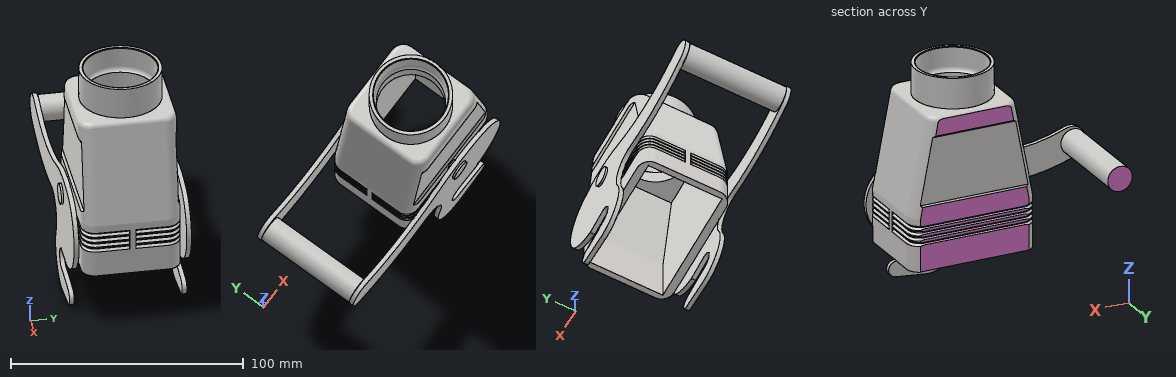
import cadquery as cq
import math


hood_bottom = -24.6
taper_start = 0.2
shoulder = 46.5
base_half_length = 29.9
top_half_length = 21.0
hood_depth = 43.2
corner_radius = 6.1
rim_radius = 2.5
taper_blend_radius = 2.8

collar_top = 60.9
collar_radius = 18.0
socket_radius = 16.1
socket_chamfer = 0.3
throat_radius = 14.9
socket_depth = 9.5
step_height = 2.2

wall = 2.7
cavity_top = 41.1

overlap = 1.1

panel_depth = 1.0
panel_bottom = 5.0
panel_bottom_slope = 1.3
panel_top = 38.2
panel_top_slope = 1.1

groove_count = 4
groove_height = 2.0
groove_pitch = 2.5
lowest_groove = -12.5
groove_gap = 2.7

plate_thickness = 2.2
plate_outer_y = 25.7
pin_radius = 2.4
head_radius = 4.6
rivet_span = 53.2
handle_x = -69.9
handle_radius = 6.0

arm_centre = (-39.2, 76.2)
arm_end_centre = (-68.8, 0.2)
crown_centre = (3.0, -39.3)
nose_centre = (11.8, -9.9)
chin_centre = (5.2, -0.9)
thumb_centre = (-23.2, -22.1)
hook_centre = (0, -33.1)
tip_centre = (15.2, -42.8)
arm_end_radius = 7.3
slot_radius = 4.8
tip_radius = 3.7
mouth_x = 11.5


def distance(a, b):
    return math.hypot(b[0] - a[0], b[1] - a[1])


def toward(centre, target, length):
    """Point at the given length from centre, along the line to target."""
    ratio = length / distance(centre, target)
    return (centre[0] + ratio * (target[0] - centre[0]), centre[1] + ratio * (target[1] - centre[1]))


def polar(centre, radius, angle):
    return (centre[0] + radius * math.cos(angle), centre[1] + radius * math.sin(angle))


def arc_middle(centre, start, end):
    """Middle of the arc shorter than half a turn from start to end."""
    chord_middle = ((start[0] + end[0]) / 2, (start[1] + end[1]) / 2)
    return toward(centre, chord_middle, distance(centre, start))


def hood_profile(inset, bottom, top):
    """Front outline of the hood between two heights, with its sides moved inwards by inset."""
    lean = (base_half_length - top_half_length) / (shoulder - taper_start)
    side = base_half_length - inset
    top_side = side - lean * (top - taper_start)
    points = [
        (-side, bottom),
        (side, bottom),
        (side, taper_start),
        (top_side, top),
        (-top_side, top),
        (-side, taper_start),
    ]
    return cq.Workplane("XZ").polyline(points).close()


def hood_shell():
    body = hood_profile(0, hood_bottom, shoulder).extrude(hood_depth / 2, both=True)
    blend_bottom = taper_start - taper_blend_radius
    blend_top = taper_start + taper_blend_radius
    taper_edges = cq.selectors.BoxSelector(
        (-hood_depth, -hood_depth, blend_bottom), (hood_depth, hood_depth, blend_top)
    )
    body = body.edges("|Y").edges(taper_edges).fillet(taper_blend_radius)
    body = body.edges("not(|X or |Y)").fillet(corner_radius)
    return body.faces(">Z").edges().fillet(rim_radius)


def cavity():
    inner_depth = hood_depth - 2 * (wall + panel_depth)
    return hood_profile(wall, hood_bottom, cavity_top).extrude(inner_depth / 2, both=True)


def collar():
    base = shoulder - overlap
    return cq.Workplane("XY", origin=(0, 0, base)).circle(collar_radius).extrude(collar_top - base)


def bore():
    """Chamfered socket that narrows through a rounded step to the throat."""
    step_top = collar_top - socket_depth
    throat_bottom = cavity_top - overlap
    half_section = (
        cq.Workplane("XZ")
        .moveTo(0, collar_top)
        .lineTo(socket_radius + socket_chamfer, collar_top)
        .lineTo(socket_radius, collar_top - socket_chamfer)
        .lineTo(socket_radius, step_top)
        .tangentArcPoint((throat_radius, step_top - step_height), relative=False)
        .lineTo(throat_radius, throat_bottom)
        .lineTo(0, throat_bottom)
        .close()
    )
    return half_section.revolve(360, (0, 0), (0, 1))


def panel_recess(side):
    """Recess across one face, side is -1 for the front and 1 for the back."""
    face_y = side * hood_depth / 2
    floor_y = face_y - side * panel_depth
    section = [
        (face_y, panel_bottom),
        (floor_y, panel_bottom + panel_bottom_slope),
        (floor_y, panel_top - panel_top_slope),
        (face_y, panel_top),
    ]
    return cq.Workplane("YZ").polyline(section).close().extrude(base_half_length, both=True)


def groove(bottom):
    """V-groove with 45 degree flanks, cut into the ends, corners and long faces."""
    length = 2 * base_half_length
    half_height = groove_height / 2
    middle = bottom + half_height
    ring = (
        cq.Workplane("XY", origin=(0, 0, bottom))
        .rect(length + groove_height, hood_depth + groove_height)
        .extrude(groove_height)
    )
    for direction in (1, -1):
        core = (
            cq.Workplane("XY", origin=(0, 0, middle - direction * half_height))
            .sketch()
            .rect(length, hood_depth)
            .vertices()
            .fillet(corner_radius)
            .finalize()
            .extrude(direction * half_height, taper=45)
        )
        ring = ring.cut(core)
    gap = cq.Workplane("XY", origin=(0, 0, middle)).box(2 * length, groove_gap, 2 * groove_height)
    return ring.cut(gap)


def lever_outline(plane):
    arm_radius = distance(arm_centre, arm_end_centre)
    arm_upper_radius = arm_radius - arm_end_radius
    arm_lower_radius = arm_radius + arm_end_radius
    crown_radius = distance(arm_centre, crown_centre) - arm_upper_radius
    nose_radius = crown_radius - distance(crown_centre, nose_centre)
    chin_radius = nose_radius + distance(nose_centre, chin_centre)
    thumb_radius = distance(arm_centre, thumb_centre) - arm_lower_radius
    hook_radius = distance(thumb_centre, hook_centre) - thumb_radius

    arm_end_top = toward(arm_centre, arm_end_centre, arm_upper_radius)
    arm_end_bottom = toward(arm_centre, arm_end_centre, arm_lower_radius)
    arm_direction = math.atan2(arm_end_centre[1] - arm_centre[1], arm_end_centre[0] - arm_centre[0])
    arm_end_outer = polar(arm_end_centre, arm_end_radius, arm_direction - math.pi / 2)

    crown_start = toward(arm_centre, crown_centre, arm_upper_radius)
    nose_start = toward(crown_centre, nose_centre, crown_radius)
    chin_start = toward(chin_centre, nose_centre, chin_radius)
    mouth = (mouth_x, chin_centre[1] - math.sqrt(chin_radius**2 - (mouth_x - chin_centre[0]) ** 2))
    slot_top = (hook_centre[0], hook_centre[1] + slot_radius)
    slot_end = (hook_centre[0] - slot_radius, hook_centre[1])
    slot_bottom = (hook_centre[0], hook_centre[1] - slot_radius)
    tip_top = (tip_centre[0], tip_centre[1] + tip_radius)
    tip_end = (tip_centre[0] + tip_radius, tip_centre[1])

    hook_to_tip = math.atan2(tip_centre[1] - hook_centre[1], tip_centre[0] - hook_centre[0])
    underside_normal = hook_to_tip - math.acos((hook_radius - tip_radius) / distance(hook_centre, tip_centre))
    tip_bottom = polar(tip_centre, tip_radius, underside_normal)
    hook_bottom = polar(hook_centre, hook_radius, underside_normal)

    thumb_end = toward(thumb_centre, hook_centre, thumb_radius)
    thumb_start = toward(arm_centre, thumb_centre, arm_lower_radius)

    return (
        plane.moveTo(*arm_end_top)
        .threePointArc(arc_middle(arm_centre, arm_end_top, crown_start), crown_start)
        .threePointArc(arc_middle(crown_centre, crown_start, nose_start), nose_start)
        .threePointArc(arc_middle(nose_centre, nose_start, chin_start), chin_start)
        .threePointArc(arc_middle(chin_centre, chin_start, mouth), mouth)
        .lineTo(*slot_top)
        .threePointArc(slot_end, slot_bottom)
        .tangentArcPoint(tip_top, relative=False)
        .threePointArc(tip_end, tip_bottom)
        .lineTo(*hook_bottom)
        .threePointArc(arc_middle(hook_centre, hook_bottom, thumb_end), thumb_end)
        .threePointArc(arc_middle(thumb_centre, thumb_end, thumb_start), thumb_start)
        .threePointArc(arc_middle(arm_centre, thumb_start, arm_end_bottom), arm_end_bottom)
        .threePointArc(arm_end_outer, arm_end_top)
        .close()
    )


def front_plane(y):
    """Plane facing the front, so that extruding runs towards -Y."""
    return cq.Workplane("XZ", origin=(0, y, 0))


def front_lever_side():
    """Plate, rivet head and pivot pin on the front of the hood."""
    plate_inner_y = plate_outer_y - plate_thickness
    head_outer_y = rivet_span / 2
    pin_inner_y = hood_depth / 2 - wall
    plate = lever_outline(front_plane(-plate_inner_y)).extrude(plate_thickness)
    head = front_plane(-plate_outer_y).circle(head_radius).extrude(head_outer_y - plate_outer_y)
    pin = front_plane(-pin_inner_y).circle(pin_radius).extrude(plate_outer_y - pin_inner_y)
    return plate.union(head).union(pin)


def handle():
    half_span = plate_outer_y - plate_thickness
    handle_z = arm_end_centre[1]
    section = front_plane(half_span).center(handle_x, handle_z).circle(handle_radius)
    return section.extrude(2 * half_span)


hood = hood_shell().union(collar()).cut(cavity()).cut(bore())
for side in (-1, 1):
    hood = hood.cut(panel_recess(side))
for index in range(groove_count):
    hood = hood.cut(groove(lowest_groove + index * groove_pitch))

lever_side = front_lever_side()
lever = lever_side.union(lever_side.mirror("XZ")).union(handle())
result = hood.union(lever)